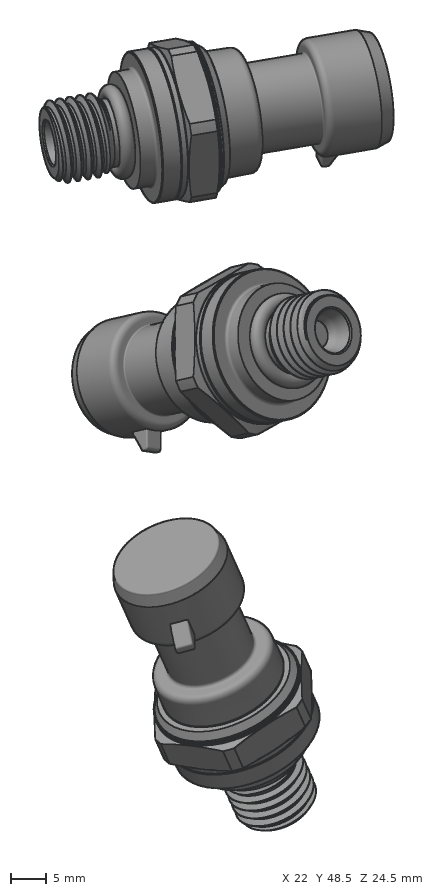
import cadquery as cq
import math


THREAD_RADIUS = 6.0
THREAD_PITCH = 1.5
THREAD_ROOT_RADIUS = 5.15
THREAD_CREST_FLAT = 0.1
THREAD_HALF_ANGLE = math.radians(30)
THREAD_TIP_RADIUS = 5.0
THREAD_END = 7.9
THREAD_CREST_OFFSET = 1.53
RIDGE_OVERLAP = 0.25
LEAD_IN_TURNS = 2

NECK_RADIUS = 4.9
NECK_START = 8.25
SEAL_FACE = 11.0
RING_SECTION_RADIUS = 1.1
RING_OUTER_RADIUS = 6.8

COLLAR_RADIUS = 8.4
COLLAR_FILLET = 0.4
FLANGE_RADIUS = 10.88
FLANGE_START = 13.5
FLANGE_CHAMFER = 0.15
FLANGE_GROOVE_START = 16.28

GROOVE_WIDTH = 0.18
GROOVE_DEPTH = 0.08

HEX_SIDES = 6
HEX_ACROSS_FLATS = 22.0
HEX_CORNER_DIAMETER = 24.49
HEX_CORNER_RADIUS = HEX_CORNER_DIAMETER / 2
HEX_START = 17.4
HEX_END = 21.9
HEX_CHAMFER_LENGTH = 0.33

CRIMP_RADIUS = FLANGE_RADIUS
CRIMP_GROOVE_START = 22.12
CRIMP_LIP_END = 22.6
CRIMP_CONE_RADIUS = 10.7
CRIMP_END = 23.75
CRIMP_END_RADIUS = 9.95

BASE_START_RADIUS = 9.13
BASE_RADIUS = 9.03
BASE_END = 29.05
BASE_FILLET = 1.0
STEM_RADIUS = 6.5
STEM_LOWER_FILLET = 0.5
STEM_UPPER_FILLET = 0.2
CAP_START = 38.5
CAP_RADIUS = 8.53
CAP_FILLET = 1.0
CAP_TAPER_START = 46.5
CAP_TAPER_END_RADIUS = 7.95
CAP_END_ROUND = 0.3
LENGTH = 48.48

LATCH_WIDTH = 2.7
LATCH_START = 39.65
LATCH_TIP_BACK = 40.85
LATCH_END = 43.05
LATCH_BOTTOM = -11.45
LATCH_EMBEDMENT = 1.0
LATCH_ROOT = CAP_RADIUS - LATCH_EMBEDMENT
LATCH_BACK_FILLET = 0.35
LATCH_FRONT_FILLET = 0.5
LATCH_SIDE_FILLET = 0.28

PORT_MOUTH_RADIUS = 3.4
PORT_CHAMFER = 0.22
PORT_FLOOR_CONE_RADIUS = 2.55
PORT_CONE_START = 2.4
PORT_FLOOR_RADIUS = 1.97
PORT_FLOOR = 3.6


def turned(outline):
    """Close and revolve a (radius, Y) outline about the Y axis."""
    return outline.close().revolve(360, (0, 0, 0), (0, 1, 0))


def make_groove(surface_radius, start):
    """Square ring that cuts a fine groove into a turned surface."""
    return (
        cq.Workplane("XZ", origin=(0, start, 0))
        .circle(surface_radius + GROOVE_DEPTH)
        .circle(surface_radius - GROOVE_DEPTH)
        .extrude(-GROOVE_WIDTH)
    )


def make_metal_front():
    """Neck with its O-ring, collar and flange up to the hexagon."""
    ring_radius = RING_OUTER_RADIUS - RING_SECTION_RADIUS
    ring_y = SEAL_FACE - RING_SECTION_RADIUS
    ring_contact = ring_y - math.sqrt(RING_SECTION_RADIUS**2 - (ring_radius - NECK_RADIUS) ** 2)
    outline = (
        cq.Workplane("XY")
        .moveTo(0, THREAD_END - RIDGE_OVERLAP)
        .lineTo(THREAD_ROOT_RADIUS, THREAD_END - RIDGE_OVERLAP)
        .lineTo(THREAD_ROOT_RADIUS, THREAD_END)
        .lineTo(NECK_RADIUS, NECK_START)
        .lineTo(NECK_RADIUS, ring_contact)
        .threePointArc((RING_OUTER_RADIUS, ring_y), (ring_radius, SEAL_FACE))
        .lineTo(COLLAR_RADIUS, SEAL_FACE)
        .lineTo(COLLAR_RADIUS, FLANGE_START - COLLAR_FILLET)
        .radiusArc((COLLAR_RADIUS + COLLAR_FILLET, FLANGE_START), COLLAR_FILLET)
        .lineTo(FLANGE_RADIUS - FLANGE_CHAMFER, FLANGE_START)
        .lineTo(FLANGE_RADIUS, FLANGE_START + FLANGE_CHAMFER)
        .lineTo(FLANGE_RADIUS, HEX_START - FLANGE_CHAMFER)
        .lineTo(FLANGE_RADIUS - FLANGE_CHAMFER, HEX_START)
        .lineTo(0, HEX_START)
    )
    return turned(outline)


def make_hexagon():
    """Hexagon with two flats facing +X and -X, turned down at its corners and both faces."""
    blank = (
        cq.Workplane("XZ", origin=(0, HEX_START, 0))
        .polygon(HEX_SIDES, HEX_ACROSS_FLATS, circumscribed=True)
        .extrude(HEX_START - HEX_END)
    )
    face_radius = HEX_ACROSS_FLATS / 2
    envelope = (
        cq.Workplane("XY")
        .moveTo(0, HEX_START)
        .lineTo(face_radius, HEX_START)
        .lineTo(HEX_CORNER_RADIUS, HEX_START + HEX_CHAMFER_LENGTH)
        .lineTo(HEX_CORNER_RADIUS, HEX_END - HEX_CHAMFER_LENGTH)
        .lineTo(face_radius, HEX_END)
        .lineTo(0, HEX_END)
    )
    return blank.intersect(turned(envelope))


def make_plastic_body():
    """Crimped ring, drafted base, stem and cap behind the hexagon."""
    outline = (
        cq.Workplane("XY")
        .moveTo(0, HEX_END)
        .lineTo(CRIMP_RADIUS, HEX_END)
        .lineTo(CRIMP_RADIUS, CRIMP_LIP_END)
        .lineTo(CRIMP_CONE_RADIUS, CRIMP_LIP_END)
        .lineTo(CRIMP_END_RADIUS, CRIMP_END)
        .lineTo(BASE_START_RADIUS, CRIMP_END)
        .lineTo(BASE_RADIUS, BASE_END - BASE_FILLET)
        .radiusArc((BASE_RADIUS - BASE_FILLET, BASE_END), -BASE_FILLET)
        .lineTo(STEM_RADIUS + STEM_LOWER_FILLET, BASE_END)
        .radiusArc((STEM_RADIUS, BASE_END + STEM_LOWER_FILLET), STEM_LOWER_FILLET)
        .lineTo(STEM_RADIUS, CAP_START - STEM_UPPER_FILLET)
        .radiusArc((STEM_RADIUS + STEM_UPPER_FILLET, CAP_START), STEM_UPPER_FILLET)
        .lineTo(CAP_RADIUS - CAP_FILLET, CAP_START)
        .radiusArc((CAP_RADIUS, CAP_START + CAP_FILLET), -CAP_FILLET)
        .lineTo(CAP_RADIUS, CAP_TAPER_START)
        .lineTo(CAP_TAPER_END_RADIUS, LENGTH - CAP_END_ROUND)
        .radiusArc((CAP_TAPER_END_RADIUS - CAP_END_ROUND, LENGTH), -CAP_END_ROUND)
        .lineTo(0, LENGTH)
    )
    return turned(outline)


def make_thread():
    """Right-hand helical ridge on a core, cut back to 45 degrees at both ends."""
    ridge_start = THREAD_CREST_OFFSET - LEAD_IN_TURNS * THREAD_PITCH
    ridge_length = THREAD_END + THREAD_PITCH - ridge_start
    inner_radius = THREAD_ROOT_RADIUS - RIDGE_OVERLAP
    crest_half = THREAD_CREST_FLAT / 2
    inner_half = crest_half + (THREAD_RADIUS - inner_radius) * math.tan(THREAD_HALF_ANGLE)
    helix = cq.Wire.makeHelix(THREAD_PITCH, ridge_length, inner_radius)
    ridge = (
        cq.Workplane("XZ")
        .polyline([
            (inner_radius, -inner_half),
            (THREAD_RADIUS, -crest_half),
            (THREAD_RADIUS, crest_half),
            (inner_radius, inner_half),
        ])
        .close()
        .sweep(cq.Workplane(obj=helix), isFrenet=True)
        .rotate((0, 0, 0), (1, 0, 0), -90)
        .translate((0, ridge_start, 0))
    )
    tip_chamfer = THREAD_RADIUS - THREAD_TIP_RADIUS
    runout = THREAD_RADIUS - THREAD_ROOT_RADIUS
    envelope = turned(
        cq.Workplane("XY")
        .moveTo(0, 0)
        .lineTo(THREAD_TIP_RADIUS, 0)
        .lineTo(THREAD_RADIUS + THREAD_CREST_FLAT, tip_chamfer + THREAD_CREST_FLAT)
        .lineTo(THREAD_RADIUS + THREAD_CREST_FLAT, THREAD_END - runout - THREAD_CREST_FLAT)
        .lineTo(THREAD_ROOT_RADIUS, THREAD_END)
        .lineTo(0, THREAD_END)
    )
    core = turned(
        cq.Workplane("XY")
        .moveTo(0, 0)
        .lineTo(THREAD_TIP_RADIUS, 0)
        .lineTo(THREAD_ROOT_RADIUS, THREAD_ROOT_RADIUS - THREAD_TIP_RADIUS)
        .lineTo(THREAD_ROOT_RADIUS, THREAD_END)
        .lineTo(0, THREAD_END)
    )
    return core.union(ridge.intersect(envelope))


def make_latch():
    """Wedge-shaped latch hanging from the underside of the cap."""
    return (
        cq.Workplane("YZ", origin=(-LATCH_WIDTH / 2, 0, 0))
        .moveTo(LATCH_START, -LATCH_ROOT)
        .lineTo(LATCH_START, LATCH_BOTTOM)
        .lineTo(LATCH_TIP_BACK, LATCH_BOTTOM)
        .lineTo(LATCH_END, -CAP_RADIUS)
        .lineTo(LATCH_END, -LATCH_ROOT)
        .close()
        .extrude(LATCH_WIDTH)
        .faces("<Z")
        .edges(">Y")
        .fillet(LATCH_BACK_FILLET)
        .faces("<Z")
        .edges("<Y")
        .fillet(LATCH_FRONT_FILLET)
        .faces("<X or >X")
        .edges()
        .fillet(LATCH_SIDE_FILLET)
    )


def make_port():
    """Blind, tapered pressure port opening at the thread tip."""
    outline = (
        cq.Workplane("XY")
        .lineTo(PORT_MOUTH_RADIUS, 0)
        .lineTo(PORT_MOUTH_RADIUS - PORT_CHAMFER, PORT_CHAMFER)
        .lineTo(PORT_FLOOR_CONE_RADIUS, PORT_CONE_START)
        .lineTo(PORT_FLOOR_RADIUS, PORT_FLOOR)
        .lineTo(0, PORT_FLOOR)
    )
    return turned(outline)


result = (
    make_metal_front()
    .union(make_hexagon())
    .union(make_plastic_body())
    .union(make_latch())
    .union(make_thread())
    .cut(make_port())
    .cut(make_groove(FLANGE_RADIUS, FLANGE_GROOVE_START))
    .cut(make_groove(CRIMP_RADIUS, CRIMP_GROOVE_START))
    .cut(make_groove(BASE_START_RADIUS, CRIMP_END))
)